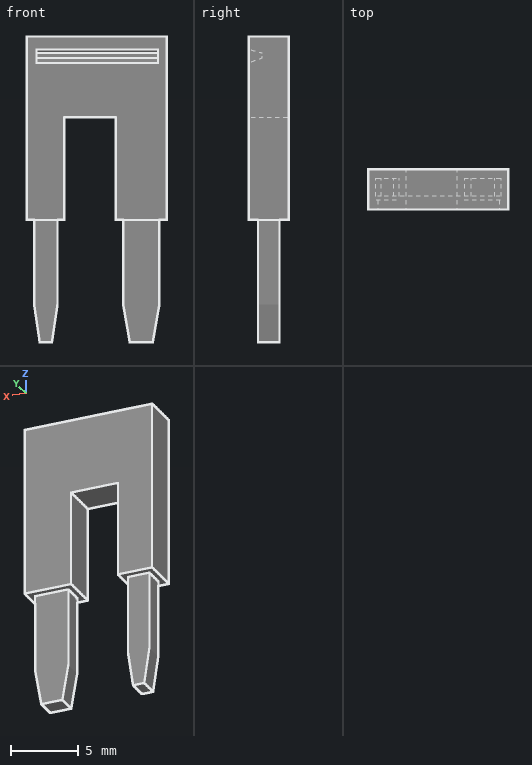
import cadquery as cq

head_width = 10.4
head_thickness = 3.0
head_height = 13.6

gap_left = 2.8
gap_width = 3.8
gap_top_depth = 6.0

groove_length = 9.0
groove_left = 0.75
groove_top = -0.97
groove_height = 1.0
groove_ceiling_drop = 0.27
groove_floor_rise = 0.36
groove_depth = 1.0

overall_height = 22.68
pin_thickness = 1.6
pin_inset = 0.55
narrow_pin_width = 1.75
wide_pin_width = 2.7
narrow_tip_width = 0.92
wide_tip_width = 1.72
taper_length = 2.8


def make_head():
    plate = cq.Workplane("XY").box(head_width, head_thickness, head_height, centered=False)
    plate = plate.translate((0, 0, -head_height))
    gap_height = head_height - gap_top_depth
    gap = cq.Workplane("XY").box(gap_width, head_thickness, gap_height, centered=False)
    return plate.cut(gap.translate((gap_left, 0, -head_height)))


def make_groove():
    """Groove whose ceiling and floor slope toward each other up to a flat back wall."""
    groove_bottom = groove_top - groove_height
    return (
        cq.Workplane("YZ", origin=(groove_left, 0, 0))
        .moveTo(0, groove_top)
        .lineTo(groove_depth, groove_top - groove_ceiling_drop)
        .lineTo(groove_depth, groove_bottom + groove_floor_rise)
        .lineTo(0, groove_bottom)
        .close()
        .extrude(groove_length)
    )


def make_pin(center_x, width, tip_width):
    """Flat pin below the head whose two narrow sides taper toward the tip."""
    shoulder_z = -head_height
    tip_z = -overall_height
    taper_z = tip_z + taper_length
    front_y = (head_thickness - pin_thickness) / 2
    return (
        cq.Workplane("XZ", origin=(center_x, front_y, 0))
        .moveTo(-width / 2, shoulder_z)
        .lineTo(width / 2, shoulder_z)
        .lineTo(width / 2, taper_z)
        .lineTo(tip_width / 2, tip_z)
        .lineTo(-tip_width / 2, tip_z)
        .lineTo(-width / 2, taper_z)
        .close()
        .extrude(-pin_thickness)
    )


narrow_pin_x = pin_inset + narrow_pin_width / 2
wide_pin_x = head_width - pin_inset - wide_pin_width / 2

result = (
    make_head()
    .cut(make_groove())
    .union(make_pin(narrow_pin_x, narrow_pin_width, narrow_tip_width))
    .union(make_pin(wide_pin_x, wide_pin_width, wide_tip_width))
)